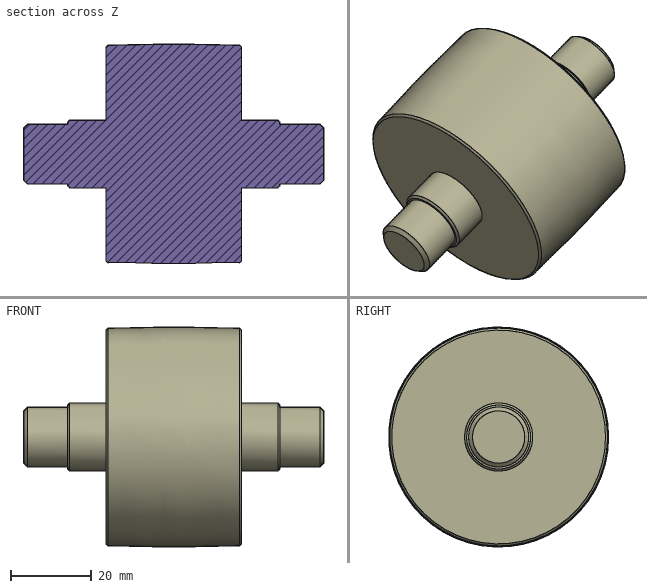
import cadquery as cq

shaft_length = 75.0
journal_length = 53.0
drum_length = 34.0
band_length = 6.0

shaft_diameter = 15.0
journal_diameter = 17.0
band_diameter = 55.0
drum_end_diameter = 54.45

shaft_chamfer = 1.0
journal_chamfer = 0.5
drum_chamfer = 0.5


def chamfered_cylinder(length, diameter, chamfer):
    """Cylinder along X, centred on the origin, with both rims chamfered."""
    return (
        cq.Workplane("YZ")
        .circle(diameter / 2)
        .extrude(length / 2, both=True)
        .faces("<X or >X")
        .chamfer(chamfer)
    )


def crowned_drum():
    """Drum with a straight middle band, tapering slightly to chamfered ends."""
    half_length = drum_length / 2
    half_band = band_length / 2
    band_radius = band_diameter / 2
    end_radius = drum_end_diameter / 2
    half_profile = [
        (half_band, band_radius),
        (half_length - drum_chamfer, end_radius),
        (half_length, end_radius - drum_chamfer),
        (half_length, 0),
    ]
    mirrored_profile = [(-x, radius) for x, radius in reversed(half_profile)]
    return (
        cq.Workplane("XY")
        .polyline(mirrored_profile + half_profile)
        .close()
        .revolve(360, (0, 0, 0), (1, 0, 0))
    )


shaft = chamfered_cylinder(shaft_length, shaft_diameter, shaft_chamfer)
journal = chamfered_cylinder(journal_length, journal_diameter, journal_chamfer)

result = crowned_drum().union(journal).union(shaft)